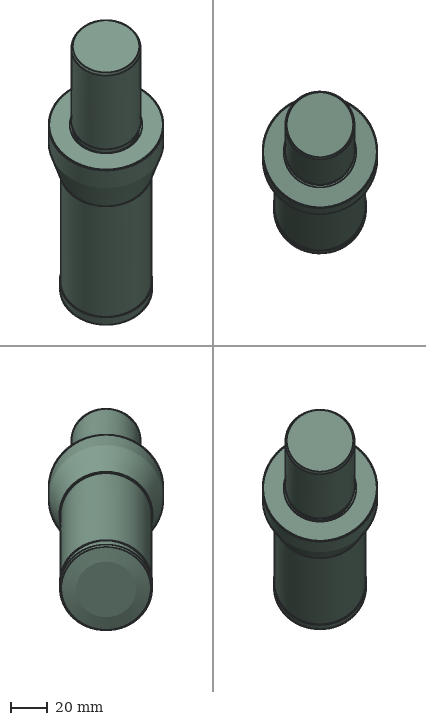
import cadquery as cq

total_height = 218.5

barrel_radius = 25.0
band_radius = 25.3
band_top = 9.5
band_bottom = 2.8
foot_edge_radius = 24.5
foot_edge_height = 1.5
foot_flat_radius = 16.4

flare_bottom = 108.5
flare_bottom_radius = 25.5
flare_lip_height = flare_bottom_radius - barrel_radius
flare_top = 132.5
collar_radius = 31.5
collar_top = 148.5
collar_chamfer = 0.5

pin_radius = 19.0
pin_top_chamfer_width = 0.9
pin_top_chamfer_height = 1.7
neck_radius = 18.3
shoulder_height = 2.6
neck_height = 1.5

socket_floor = flare_top
socket_mouth_radius = 19.9
socket_mouth_depth = socket_mouth_radius - neck_radius


def revolve_outline(points):
    """Solid of revolution about Z from (radius, height) points."""
    return cq.Workplane("XZ").polyline(points).close().revolve(360, (0, 0), (0, 1))


def make_housing():
    """Barrel, end band, tapered foot and flared collar, with a blind socket in the top."""
    foot = [
        (0, 0),
        (foot_flat_radius, 0),
        (foot_edge_radius, foot_edge_height),
    ]
    band = [
        (band_radius, band_bottom),
        (band_radius, band_top),
        (barrel_radius, band_top),
    ]
    flare = [
        (barrel_radius, flare_bottom - flare_lip_height),
        (flare_bottom_radius, flare_bottom),
        (collar_radius, flare_top),
    ]
    collar = [
        (collar_radius, collar_top - collar_chamfer),
        (collar_radius - collar_chamfer, collar_top),
    ]
    socket = [
        (socket_mouth_radius, collar_top),
        (neck_radius, collar_top - socket_mouth_depth),
        (neck_radius, socket_floor),
        (0, socket_floor),
    ]
    return revolve_outline(foot + band + flare + collar + socket)


def make_pin():
    """Round pin, chamfered on top, tapering to the neck seated in the socket."""
    neck = [
        (0, socket_floor),
        (neck_radius, socket_floor),
        (neck_radius, collar_top + neck_height),
    ]
    shaft = [
        (pin_radius, collar_top + shoulder_height),
        (pin_radius, total_height - pin_top_chamfer_height),
        (pin_radius - pin_top_chamfer_width, total_height),
        (0, total_height),
    ]
    return revolve_outline(neck + shaft)


housing = make_housing()
pin = make_pin()

result = cq.Compound.makeCompound([housing.val(), pin.val()])